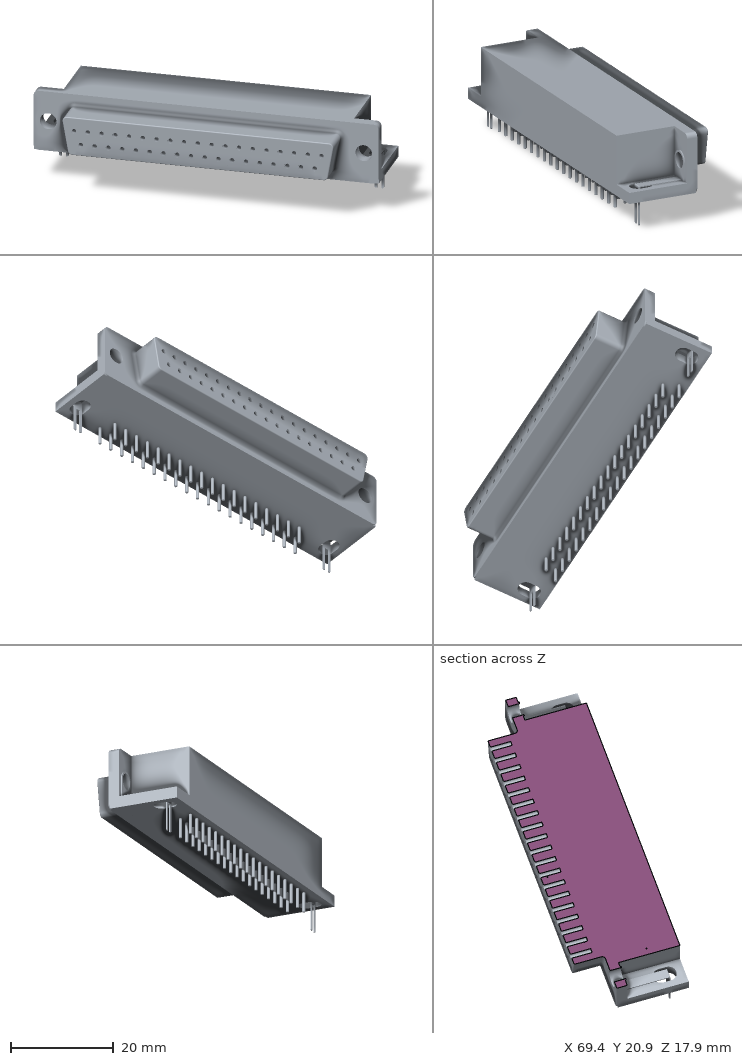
import cadquery as cq
import math


length = 69.4
total_depth = 20.95
total_height = 17.9

body_height = 12.35
body_depth = 14.8
flange_thickness = 2.2
sheet_thickness = 0.3
corner_radius = 1.0
ledge_height = 2.3
ledge_width = 5.5

mount_spacing = 63.5
flange_hole_diameter = 3.3
clip_hole_diameter = 3.2
mount_hole_z = body_height / 2
slot_width = 3.2
slot_length = 4.7
slot_center_from_rear = 3.95

shell_depth = total_depth - body_depth
shell_top_width = 54.8
shell_height = 7.85
shell_bottom_z = 2.15
shell_top_z = shell_bottom_z + shell_height
shell_slant = 10.0
shell_corner_radius = 0.9
shell_root_radius = 0.6
shell_front_radius = 0.2

top_row_count = 19
bottom_row_count = top_row_count - 1
top_row_span = 49.8
contact_pitch = top_row_span / (top_row_count - 1)
socket_diameter = 0.8
socket_depth = 4.15
socket_mouth_diameter = 1.05
socket_mouth_depth = 0.15
top_row_z = 7.2
bottom_row_z = 4.45
pin_diameter = 0.64
pin_length = 4.0
pin_tip_radius = 0.15
rear_pins_from_rear = 1.9
pin_row_spacing = 2.85

clip_thickness = 0.2
clip_width = 4.0
strap_width = 1.95
strap_end_from_rear = 3.1
bend_radius = 0.2
prong_length = total_height - body_height
prong_gap = 0.8
prong_tip_chamfer = 0.2

rear_y = body_depth
mount_xs = (-mount_spacing / 2, mount_spacing / 2)
overlap = 0.7
selection_margin = 0.1


def box(x_size, y_range, z_range, x_center=0.0):
    """Box centred on x_center that spans the given Y and Z ranges."""
    y_size = y_range[1] - y_range[0]
    z_size = z_range[1] - z_range[0]
    corner = (x_center - x_size / 2, y_range[0], z_range[0])
    return cq.Workplane("XY").box(x_size, y_size, z_size, centered=False).translate(corner)


def facing_front(y):
    """Workplane at depth y whose axes are X and Z; positive extrusion runs toward -Y."""
    return cq.Workplane("XZ", origin=(0, y, 0))


def housing():
    """Block with side ledges, a flange rounded on top and a front sheet rounded all round."""
    ledges = box(length, (sheet_thickness, rear_y), (0, ledge_height))
    block = box(length - 2 * ledge_width, (sheet_thickness, rear_y), (0, body_height))
    flange = box(length, (sheet_thickness, flange_thickness), (0, body_height))
    flange = flange.edges("|Y and >Z").fillet(corner_radius)
    sheet = box(length, (0, sheet_thickness), (0, body_height))
    sheet = sheet.edges("|Y").fillet(corner_radius)
    return ledges.union(block).union(flange).union(sheet)


def shell():
    """D-shaped shell with rounded corners and a rounded front rim."""
    half_top = shell_top_width / 2
    half_bottom = half_top - shell_height * math.tan(math.radians(shell_slant))
    corners = [
        (-half_top, shell_top_z),
        (half_top, shell_top_z),
        (half_bottom, shell_bottom_z),
        (-half_bottom, shell_bottom_z),
    ]
    body = facing_front(overlap).polyline(corners).close()
    body = body.extrude(shell_depth + overlap)
    body = body.edges("|Y").fillet(shell_corner_radius)
    return body.faces("<Y").edges().fillet(shell_front_radius)


def with_shell(body):
    """Join the shell to the body with a concave fillet round its root."""
    joined = body.union(shell())
    half_zone_x = shell_top_width / 2 + selection_margin
    root_zone = cq.selectors.BoxSelector(
        (-half_zone_x, -selection_margin, shell_bottom_z - selection_margin),
        (half_zone_x, selection_margin, shell_top_z + selection_margin),
    )
    return joined.edges(root_zone).fillet(shell_root_radius)


def row_xs(count):
    """X places of a contact row centred on the connector."""
    return [(i - (count - 1) / 2) * contact_pitch for i in range(count)]


def sockets():
    """Blind contact holes in the shell face, each with a shallow wider mouth."""
    places = [(x, top_row_z) for x in row_xs(top_row_count)]
    places += [(x, bottom_row_z) for x in row_xs(bottom_row_count)]
    bores = facing_front(-shell_depth).pushPoints(places)
    bores = bores.circle(socket_diameter / 2).extrude(-socket_depth)
    mouths = facing_front(-shell_depth).pushPoints(places)
    mouths = mouths.circle(socket_mouth_diameter / 2).extrude(-socket_mouth_depth)
    return bores.union(mouths)


def pin_row(count, y):
    """Row of solder pins below the housing."""
    places = [(x, y) for x in row_xs(count)]
    pins = cq.Workplane("XY").pushPoints(places).circle(pin_diameter / 2).extrude(-pin_length)
    pins = pins.faces("<Z").edges().fillet(pin_tip_radius)
    roots = cq.Workplane("XY").pushPoints(places).circle(pin_diameter / 2).extrude(overlap)
    return pins.union(roots)


def ledge_slots():
    """Round-ended slots through both ledges."""
    places = [(x, rear_y - slot_center_from_rear) for x in mount_xs]
    slots = cq.Workplane("XY").pushPoints(places)
    return slots.slot2D(slot_length, slot_width, 90).extrude(ledge_height)


def clip(x):
    """Clip: round-topped plate behind the flange, strap along the ledge, two prongs down."""
    plate_rear_y = flange_thickness + clip_thickness
    plate_y = (flange_thickness, plate_rear_y)
    plate = box(clip_width, plate_y, (ledge_height, mount_hole_z), x)
    round_top = facing_front(plate_rear_y).center(x, mount_hole_z)
    round_top = round_top.circle(clip_width / 2).extrude(clip_thickness)

    strap_end_y = rear_y - strap_end_from_rear
    strap_top_z = ledge_height + clip_thickness
    strap = box(strap_width, (flange_thickness, strap_end_y), (ledge_height, strap_top_z), x)
    prong_y = (strap_end_y - clip_thickness, strap_end_y)
    prongs = box(strap_width, prong_y, (-prong_length, strap_top_z), x)
    gap = box(prong_gap, prong_y, (-prong_length, 0), x)
    prongs = prongs.edges("|Y and <Z").chamfer(prong_tip_chamfer).cut(gap)
    bent_strip = strap.union(prongs).edges("|X and >Y and >Z").fillet(bend_radius)
    return plate.union(round_top).union(bent_strip)


def mount_holes():
    """Holes through the flange, continued a little narrower through the clip plates."""
    places = [(x, mount_hole_z) for x in mount_xs]
    flange_holes = facing_front(0).pushPoints(places)
    flange_holes = flange_holes.circle(flange_hole_diameter / 2).extrude(-flange_thickness)
    clip_holes = facing_front(flange_thickness).pushPoints(places)
    clip_holes = clip_holes.circle(clip_hole_diameter / 2).extrude(-clip_thickness)
    return flange_holes.union(clip_holes)


connector = with_shell(housing())
connector = connector.cut(ledge_slots()).cut(sockets())

rear_row_y = rear_y - rear_pins_from_rear
connector = connector.union(pin_row(top_row_count, rear_row_y))
connector = connector.union(pin_row(bottom_row_count, rear_row_y - pin_row_spacing))

for mount_x in mount_xs:
    connector = connector.union(clip(mount_x))

result = connector.cut(mount_holes())